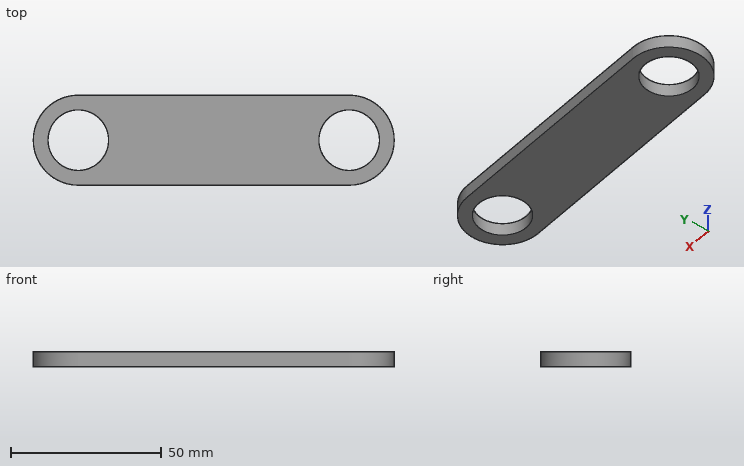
import cadquery as cq

length = 120.0
width = 30.0
thickness = 5.0
hole_diameter = 20.0

hole_spacing = length - width

plate = cq.Workplane("XY").slot2D(length, width).extrude(thickness)

result = (
    plate.faces(">Z")
    .workplane()
    .rarray(hole_spacing, 1.2, 2, 1)
    .hole(hole_diameter)
)